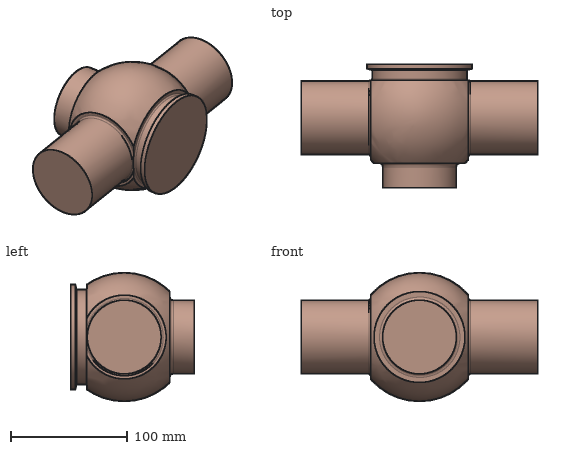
import cadquery as cq

ball_diameter = 111.0
side_flat = 42.2
front_flat = 39.3
back_flat = 32.2

overall_length = 203.7
pipe_diameter = 63.5
front_end = 60.5
side_fillet = 1.6
front_fillet = 2.9

neck_diameter = 81.9
flange_diameter = 90.9
flange_thickness = 4.0
back_end = 46.2
neck_base_fillet = 1.2
flange_taper = 1.2


def trim_box(length):
    """Box of the given X length that reaches from the -Y flat to the +Y flat."""
    box = cq.Workplane("XY").box(length, front_flat + back_flat, ball_diameter)
    return box.translate((0, (back_flat - front_flat) / 2, 0))


def truncated_ball():
    """Ball trimmed flat on both X sides and on both Y sides."""
    return cq.Workplane("XY").sphere(ball_diameter / 2).intersect(trim_box(2 * side_flat))


def pipe_stub(flat, end, fillet):
    """Stub along -Y with a concave fillet where it leaves the flat."""
    radius = pipe_diameter / 2
    reach = fillet * (1 - 0.5 ** 0.5)
    return (
        cq.Workplane("XY")
        .moveTo(0, -flat)
        .lineTo(radius + fillet, -flat)
        .threePointArc((radius + reach, -flat - reach), (radius, -flat - fillet))
        .lineTo(radius, -end)
        .lineTo(0, -end)
        .close()
        .revolve(360, (0, 0, 0), (0, 1, 0))
    )


def side_stub(angle):
    """Stub along X, its fillet trimmed level with the +Y flat."""
    stub = pipe_stub(side_flat, overall_length / 2, side_fillet)
    return stub.rotate((0, 0, 0), (0, 0, 1), angle).intersect(trim_box(overall_length))


def flanged_neck():
    """Neck and flange along +Y, filleted at the ball and tapered under the flange."""
    neck_radius = neck_diameter / 2
    flange_back = back_end - flange_thickness
    base_reach = neck_base_fillet * (1 - 0.5 ** 0.5)
    return (
        cq.Workplane("XY")
        .moveTo(0, back_flat)
        .lineTo(neck_radius + neck_base_fillet, back_flat)
        .threePointArc(
            (neck_radius + base_reach, back_flat + base_reach),
            (neck_radius, back_flat + neck_base_fillet),
        )
        .lineTo(neck_radius, flange_back - flange_taper)
        .lineTo(flange_diameter / 2, flange_back)
        .lineTo(flange_diameter / 2, back_end)
        .lineTo(0, back_end)
        .close()
        .revolve(360, (0, 0, 0), (0, 1, 0))
    )


result = truncated_ball()
for angle in (-90, 90):
    result = result.union(side_stub(angle))
result = result.union(pipe_stub(front_flat, front_end, front_fillet))
result = result.union(flanged_neck())